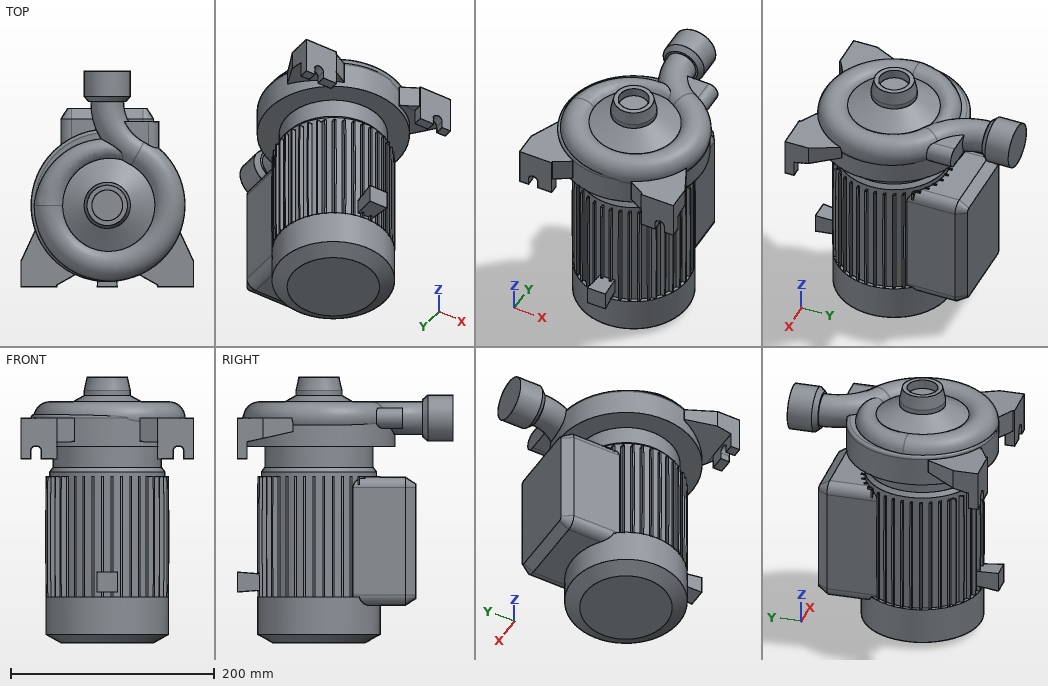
import cadquery as cq
import math


COVER_RADIUS = 60.3
COVER_BOTTOM_RADIUS = 45.5
COVER_CHAMFER_HEIGHT = 8.4
CORE_RADIUS = 56.6
CORE_TOP = 168.0
NECK_RADIUS = 53.2
NECK_BOTTOM = 172.5

FIN_BOTTOM = 45.0
FIN_TOP = 163.5
FIN_BULGE = 0.5
FIN_THICKNESS = 1.8
FIN_COUNT = 40
FINS_PER_ROW = 8

CASING_RADIUS = 75.0
CASING_BOTTOM = 193.0
CASING_TOP = 224.5
CASING_ROUND = 3.5
CONE_BASE_RADIUS = 56.0
INLET_RADIUS = 22.7
INLET_BOTTOM = 243.0
INLET_TAPER_BOTTOM = 248.0
INLET_TOP_RADIUS = 19.8
INLET_BORE_RADIUS = 15.1
INLET_BORE_DEPTH = 9.5
TOTAL_HEIGHT = 261.0

VOLUTE_X = 2.0
VOLUTE_Z = 220.8
VOLUTE_RADIUS = 58.2
PIPE_RADIUS = 16.2
VOLUTE_EXIT_ANGLE = 61.4
TAIL_START_ANGLE = 180.0
TAIL_END_ANGLE = 70.0
TAIL_END_HALF_WIDTH = 10.7
TAIL_END_HALF_HEIGHT = 13.5
TAIL_TAPER_POWER = 1.5
TAIL_INNER_SHIFT = 1.8
TAIL_STEPS = 4
OUTLET_END_Y = 131.8
OUTLET_RADIUS = 22.7
OUTLET_LENGTH = 24.8
OUTLET_CONE_LENGTH = 5.2
OUTLET_CONE_RADIUS = 18.3

OVERALL_WIDTH = 170.0
FOOT_FACE_Y = -80.0
FOOT_THICKNESS = 9.7
FOOT_WIDTH = 35.5
FOOT_BOTTOM = 181.0
FOOT_TOP = 220.8
FOOT_SIDE_LENGTH = 25.0
FOOT_STEP = 1.8
SLOT_X = 70.0
SLOT_WIDTH = 10.2
SLOT_TOP = 193.7
GUSSET_BOTTOM = 197.5
GUSSET_OUTER_X = 71.3
GUSSET_BACK_Y = -25.5
GUSSET_INNER_X = 32.4
GUSSET_INNER_Y = -68.6
GUSSET_RISE_ANGLE = 12.5

BOX_WIDTH = 91.4
BOX_FACE_Y = 95.3
BOX_INNER_Y = 26.0
BOX_BOTTOM = 36.8
BOX_TOP = 162.9
BOX_ROUND = 10.5
BOX_CHAMFER_DEPTH = 10.5
BOX_CHAMFER_INSET = 6.8

WEB_LEFT_X = 13.0
WEB_RIGHT_X = 50.6
WEB_INNER_Y = 52.2
WEB_OUTER_Y = 82.2
WEB_ROUND = 10.2

STUB_SIZE = 19.8
STUB_CENTER_Z = 59.8
STUB_TAPER_ANGLE = 4.5


def make_motor():
    """Motor cover, core and neck up to the casing as one turned body."""
    profile = [
        (0, 0),
        (COVER_BOTTOM_RADIUS, 0),
        (COVER_RADIUS, COVER_CHAMFER_HEIGHT),
        (COVER_RADIUS, FIN_BOTTOM),
        (CORE_RADIUS, FIN_BOTTOM),
        (CORE_RADIUS, CORE_TOP),
        (NECK_RADIUS, NECK_BOTTOM),
        (NECK_RADIUS, CASING_BOTTOM),
        (0, CASING_BOTTOM),
    ]
    return cq.Workplane("XZ").polyline(profile).close().revolve(360, (0, 0), (0, 1))


def make_fin_plate(offset):
    """Plate through the motor parallel to the XZ plane at Y = offset; its two long edges are the fins."""
    half_length = math.sqrt(COVER_RADIUS ** 2 - (abs(offset) + FIN_THICKNESS / 2) ** 2)
    bulge_length = half_length + FIN_BULGE
    middle_z = (FIN_BOTTOM + FIN_TOP) / 2
    return (
        cq.Workplane("XZ", origin=(0, offset + FIN_THICKNESS / 2, 0))
        .moveTo(-half_length, FIN_BOTTOM)
        .lineTo(half_length, FIN_BOTTOM)
        .threePointArc((bulge_length, middle_z), (half_length, FIN_TOP))
        .lineTo(-half_length, FIN_TOP)
        .threePointArc((-bulge_length, middle_z), (-half_length, FIN_BOTTOM))
        .close()
        .extrude(FIN_THICKNESS)
    )


def make_fins():
    """Fins at equal angles around the core, each parallel to the nearer of the X and Y axes."""
    pitch = math.radians(360 / FIN_COUNT)
    fins = cq.Workplane("XY")
    for row in range(FIN_COUNT // FINS_PER_ROW):
        offset = COVER_RADIUS * math.sin(pitch * (row + 0.5))
        for side in (-1, 1):
            plate = make_fin_plate(side * offset)
            fins = fins.union(plate).union(plate.rotate((0, 0, 0), (0, 0, 1), 90))
    return fins


def make_casing():
    """Round pump casing with a rounded rim."""
    return (
        cq.Workplane("XY", origin=(0, 0, CASING_BOTTOM))
        .circle(CASING_RADIUS)
        .extrude(CASING_TOP - CASING_BOTTOM)
        .faces(">Z")
        .edges()
        .fillet(CASING_ROUND)
    )


def make_inlet():
    """Cone on the casing carrying the tapered inlet socket with its blind bore."""
    bore_floor = TOTAL_HEIGHT - INLET_BORE_DEPTH
    profile = [
        (0, CASING_TOP),
        (CONE_BASE_RADIUS, CASING_TOP),
        (INLET_RADIUS, INLET_BOTTOM),
        (INLET_RADIUS, INLET_TAPER_BOTTOM),
        (INLET_TOP_RADIUS, TOTAL_HEIGHT),
        (INLET_BORE_RADIUS, TOTAL_HEIGHT),
        (INLET_BORE_RADIUS, bore_floor),
        (0, bore_floor),
    ]
    return cq.Workplane("XZ").polyline(profile).close().revolve(360, (0, 0), (0, 1))


def volute_plane(angle, radius):
    """Section plane across the volute at an angle from +X, centred at a radius from its axis."""
    turn = math.radians(angle)
    return cq.Plane(
        origin=(VOLUTE_X + radius * math.cos(turn), radius * math.sin(turn), VOLUTE_Z),
        xDir=(math.cos(turn), math.sin(turn), 0),
        normal=(-math.sin(turn), math.cos(turn), 0),
    )


def make_volute():
    """Round tube that turns from the tail start, through -Y, to the outlet bend."""
    sweep = 360 - TAIL_START_ANGLE + VOLUTE_EXIT_ANGLE
    return (
        cq.Workplane(volute_plane(TAIL_START_ANGLE, VOLUTE_RADIUS))
        .circle(PIPE_RADIUS)
        .revolve(sweep, (-VOLUTE_RADIUS, 0), (-VOLUTE_RADIUS, -1))
    )


def make_volute_tail():
    """Tail of the volute: narrows, mostly from outside, and drops slightly towards the bend."""
    width_loss = PIPE_RADIUS - TAIL_END_HALF_WIDTH
    sections = []
    for step in range(TAIL_STEPS + 1):
        progress = step / TAIL_STEPS
        angle = TAIL_START_ANGLE + (TAIL_END_ANGLE - TAIL_START_ANGLE) * progress
        inner_radius = VOLUTE_RADIUS - PIPE_RADIUS + TAIL_INNER_SHIFT * progress
        half_width = TAIL_END_HALF_WIDTH + width_loss * (1 - progress) ** TAIL_TAPER_POWER
        half_height = PIPE_RADIUS + (TAIL_END_HALF_HEIGHT - PIPE_RADIUS) * progress
        plane = volute_plane(angle, inner_radius + half_width)
        sections.append(cq.Workplane(plane).ellipse(half_width, half_height).val())
    return cq.Workplane(cq.Solid.makeLoft(sections))


def make_outlet():
    """Bend from the volute to the +Y direction, ending in a socket on the YZ plane."""
    exit_turn = math.radians(VOLUTE_EXIT_ANGLE)
    exit_x = VOLUTE_X + VOLUTE_RADIUS * math.cos(exit_turn)
    exit_y = VOLUTE_RADIUS * math.sin(exit_turn)
    bend_radius = exit_x / (1 - math.cos(exit_turn))
    bend_end_y = exit_y + bend_radius * math.sin(exit_turn)
    bend = (
        cq.Workplane(volute_plane(VOLUTE_EXIT_ANGLE, VOLUTE_RADIUS))
        .circle(PIPE_RADIUS)
        .revolve(VOLUTE_EXIT_ANGLE, (bend_radius, 0), (bend_radius, 1))
    )
    socket_y = OUTLET_END_Y - OUTLET_LENGTH
    cone_y = socket_y - OUTLET_CONE_LENGTH
    profile = [
        (0, bend_end_y),
        (PIPE_RADIUS, bend_end_y),
        (PIPE_RADIUS, cone_y),
        (OUTLET_CONE_RADIUS, cone_y),
        (OUTLET_RADIUS, socket_y),
        (OUTLET_RADIUS, OUTLET_END_Y),
        (0, OUTLET_END_Y),
    ]
    socket = (
        cq.Workplane("XY", origin=(0, 0, VOLUTE_Z))
        .polyline(profile)
        .close()
        .revolve(360, (0, 0), (0, 1))
    )
    return bend.union(socket)


def make_foot():
    """Foot on the +X side: slotted plate and a gusset that rises towards the casing."""
    outer_x = OVERALL_WIDTH / 2
    inner_x = outer_x - FOOT_WIDTH
    plate_back_y = FOOT_FACE_Y + FOOT_THICKNESS
    outline = [
        (inner_x, FOOT_FACE_Y),
        (outer_x, FOOT_FACE_Y),
        (outer_x, FOOT_FACE_Y + FOOT_SIDE_LENGTH),
        (GUSSET_OUTER_X, GUSSET_BACK_Y),
        (GUSSET_INNER_X, GUSSET_BACK_Y),
        (GUSSET_INNER_X, GUSSET_INNER_Y),
        (inner_x, FOOT_FACE_Y + FOOT_STEP),
    ]
    foot = (
        cq.Workplane("XY", origin=(0, 0, FOOT_BOTTOM))
        .polyline(outline)
        .close()
        .extrude(FOOT_TOP - FOOT_BOTTOM)
    )
    rise = (GUSSET_BACK_Y - plate_back_y) * math.tan(math.radians(GUSSET_RISE_ANGLE))
    under_gusset = (
        cq.Workplane("YZ")
        .polyline([
            (plate_back_y, FOOT_BOTTOM),
            (plate_back_y, GUSSET_BOTTOM),
            (GUSSET_BACK_Y, GUSSET_BOTTOM + rise),
            (GUSSET_BACK_Y, FOOT_BOTTOM),
        ])
        .close()
        .extrude(outer_x)
    )
    beside_plate = (
        cq.Workplane("XY")
        .box(inner_x, FOOT_THICKNESS, GUSSET_BOTTOM, centered=False)
        .translate((0, FOOT_FACE_Y, 0))
    )
    slot_radius = SLOT_WIDTH / 2
    slot_shoulder = SLOT_TOP - slot_radius
    slot = (
        cq.Workplane("XZ", origin=(0, FOOT_FACE_Y, 0))
        .moveTo(SLOT_X - slot_radius, FOOT_BOTTOM)
        .lineTo(SLOT_X - slot_radius, slot_shoulder)
        .threePointArc((SLOT_X, SLOT_TOP), (SLOT_X + slot_radius, slot_shoulder))
        .lineTo(SLOT_X + slot_radius, FOOT_BOTTOM)
        .close()
        .extrude(-FOOT_THICKNESS)
    )
    return foot.cut(under_gusset).cut(beside_plate).cut(slot)


def make_terminal_box():
    """Terminal box on the +Y side, rounded along Y and bevelled around its face."""
    height = BOX_TOP - BOX_BOTTOM
    center_z = (BOX_TOP + BOX_BOTTOM) / 2
    bevel_y = BOX_FACE_Y - BOX_CHAMFER_DEPTH
    taper = math.degrees(math.atan(BOX_CHAMFER_INSET / BOX_CHAMFER_DEPTH))
    body = (
        cq.Workplane("XZ", origin=(0, BOX_INNER_Y, center_z))
        .rect(BOX_WIDTH, height)
        .extrude(BOX_INNER_Y - bevel_y)
        .edges("|Y")
        .fillet(BOX_ROUND)
    )
    bevel = (
        body.faces(">Y")
        .wires()
        .toPending()
        .workplane(origin=(0, bevel_y, center_z))
        .extrude(BOX_CHAMFER_DEPTH, taper=taper, combine=False)
    )
    return body.union(bevel)


def make_web():
    """Web between the outlet bend and the volute, with a full round along its +X side."""
    round_x = WEB_RIGHT_X - WEB_ROUND
    top_z = VOLUTE_Z + WEB_ROUND
    bottom_z = VOLUTE_Z - WEB_ROUND
    return (
        cq.Workplane("XZ", origin=(0, WEB_INNER_Y, 0))
        .moveTo(WEB_LEFT_X, bottom_z)
        .lineTo(round_x, bottom_z)
        .threePointArc((WEB_RIGHT_X, VOLUTE_Z), (round_x, top_z))
        .lineTo(WEB_LEFT_X, top_z)
        .close()
        .extrude(WEB_INNER_Y - WEB_OUTER_Y)
    )


def make_stub():
    """Square stub on the -Y side, narrowing towards the motor."""
    return (
        cq.Workplane("XZ", origin=(0, FOOT_FACE_Y, STUB_CENTER_Z))
        .rect(STUB_SIZE, STUB_SIZE)
        .extrude(FOOT_FACE_Y + NECK_RADIUS, taper=STUB_TAPER_ANGLE)
    )


right_foot = make_foot()
left_foot = right_foot.mirror("YZ")

features = [
    make_fins(),
    make_casing(),
    make_inlet(),
    make_volute(),
    make_volute_tail(),
    make_outlet(),
    right_foot,
    left_foot,
    make_terminal_box(),
    make_web(),
    make_stub(),
]

result = make_motor()
for feature in features:
    result = result.union(feature)